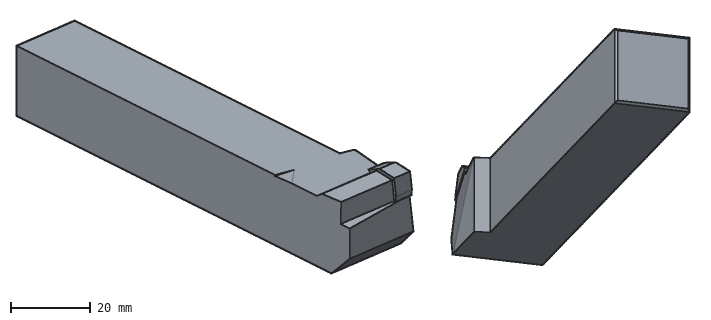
import cadquery as cq
import math

HOLDER_LENGTH = 123.9
SHANK_WIDTH = 20.0
SHANK_HEIGHT = 20.0
HEAD_WIDTH = 24.0
HEAD_STEP_X = 98.8
HEAD_STEP_RUN = 1.0
NOSE_CHAMFER = 6.8
REAR_CHAMFER = 0.6

YAW = math.radians(9.0)
RISE_PER_WIDTH = math.tan(math.radians(6.2))
SWEEP_WIDTH = 31.2
SWEEP = cq.Vector(math.tan(YAW), 1.0, RISE_PER_WIDTH) * SWEEP_WIDTH

RIDGE_FOOT_X = 111.8
RIDGE_CREST_X = 113.6
RIDGE_END_X = 120.8
RIDGE_END_Z = 21.8
RIDGE_SLOPE = RISE_PER_WIDTH / math.tan(YAW)
RIDGE_CREST_Z = SHANK_HEIGHT + RIDGE_SLOPE * (RIDGE_CREST_X - RIDGE_FOOT_X)
RIDGE_ROOT_DROP = 3.1
NOTCH_FLOOR_X = 120.5
NOTCH_FLOOR_Z = 15.4

RELIEF_START_X = 100.6
RELIEF_ANGLE = math.radians(7.2)

INSERT_DEPTH = 4.8
INSERT_OVERHANG = 0.2
INSERT_LIP = (110.4, 19.0)
INSERT_LEFT_EDGE = (109.6, 19.8)
INSERT_CREST = (115.1, 22.5)
INSERT_TIP = (121.9, 22.9)
INSERT_LEG = (121.8, 17.5)
INSERT_HEEL = (121.1, 15.4)

POCKET_X = 96.2
POCKET_LENGTH = 6.1
POCKET_APEX_SHIFT = 1.2
POCKET_WIDTH = 5.4
POCKET_DEPTH = 0.31

MARGIN = 25.0


def oblique_prism(points, sweep):
    """Prism over a flat 3D polygon, swept along a vector that may be slanted."""
    outline = cq.Wire.makePolygon([cq.Vector(*p) for p in points], close=True)
    return cq.Workplane(obj=cq.Solid.extrudeLinear(outline, [], sweep))


def cross_sweep(section):
    """Sweep an XZ section at Y = 0 along the yawed, rising direction."""
    return oblique_prism([(x, 0, z) for x, z in section], SWEEP)


def relief_side(inset=0.0):
    """Everything on the +Y side of the relief plane moved inward by inset."""
    low_z = -MARGIN
    high_z = SHANK_HEIGHT + MARGIN

    def plane_y(z):
        edge_y = HEAD_WIDTH + RELIEF_START_X * math.tan(YAW) - inset
        return edge_y - (z - SHANK_HEIGHT) * math.tan(RELIEF_ANGLE)

    far_y = plane_y(low_z) + 2 * MARGIN
    length = HOLDER_LENGTH + MARGIN
    section = [(0, plane_y(low_z), low_z), (0, far_y, low_z), (0, far_y, high_z), (0, plane_y(high_z), high_z)]
    return oblique_prism(section, cq.Vector(length, -length * math.tan(YAW), 0))


def make_block():
    """Square shank with the wider head, both ends chamfered."""
    outline = [
        (0, 0),
        (HOLDER_LENGTH, 0),
        (HOLDER_LENGTH, HEAD_WIDTH),
        (HEAD_STEP_X + HEAD_STEP_RUN, HEAD_WIDTH),
        (HEAD_STEP_X, SHANK_WIDTH),
        (0, SHANK_WIDTH),
    ]
    block = cq.Workplane().polyline(outline).close().extrude(SHANK_HEIGHT)
    block = block.faces("<X").edges().chamfer(REAR_CHAMFER)
    return block.faces(">X").edges("<Z").chamfer(NOSE_CHAMFER)


def make_ridge():
    """Raised ridge that carries the insert."""
    root_z = SHANK_HEIGHT - RIDGE_ROOT_DROP
    root_x = RIDGE_FOOT_X - RIDGE_ROOT_DROP / RIDGE_SLOPE
    return cross_sweep([
        (root_x, root_z),
        (RIDGE_CREST_X, RIDGE_CREST_Z),
        (RIDGE_END_X, RIDGE_END_Z),
        (NOTCH_FLOOR_X, NOTCH_FLOOR_Z),
        (root_x, NOTCH_FLOOR_Z),
    ])


def make_notch():
    """Open corner in front of the ridge."""
    return cross_sweep([
        (NOTCH_FLOOR_X, NOTCH_FLOOR_Z),
        (HOLDER_LENGTH + MARGIN, NOTCH_FLOOR_Z),
        (HOLDER_LENGTH + MARGIN, RIDGE_END_Z),
        (RIDGE_END_X, RIDGE_END_Z),
    ])


def make_pocket():
    """Pocket with a steep left wall and a floor that runs out along its long edge."""
    top = SHANK_HEIGHT
    corner = cq.Vector(POCKET_X, 0, top)
    runout = cq.Vector(POCKET_X + POCKET_LENGTH, 0, top)
    apex = cq.Vector(POCKET_X + POCKET_APEX_SHIFT, POCKET_WIDTH, top)
    bottom = cq.Vector(POCKET_X, 0, top - POCKET_DEPTH)
    triangles = [
        (corner, runout, apex),
        (corner, bottom, runout),
        (corner, apex, bottom),
        (bottom, apex, runout),
    ]
    faces = [cq.Face.makeFromWires(cq.Wire.makePolygon(t, close=True)) for t in triangles]
    return cq.Workplane(obj=cq.Solid.makeSolid(cq.Shell.makeShell(faces)))


def make_holder():
    """Complete tool holder."""
    holder = make_block().cut(make_notch()).union(make_ridge())
    return holder.cut(relief_side()).cut(make_pocket())


def make_insert(holder):
    """Roof-shaped cutting insert, seated on the ridge and down the notch wall."""
    blank = cross_sweep([
        INSERT_LIP,
        INSERT_LEFT_EDGE,
        INSERT_CREST,
        INSERT_TIP,
        INSERT_LEG,
        INSERT_HEEL,
        (NOTCH_FLOOR_X, NOTCH_FLOOR_Z),
    ])
    band = blank.intersect(relief_side(INSERT_DEPTH)).cut(relief_side(-INSERT_OVERHANG))
    return band.cut(holder)


holder = make_holder()
insert = make_insert(holder)
result = cq.Compound.makeCompound([holder.val(), *insert.vals()])